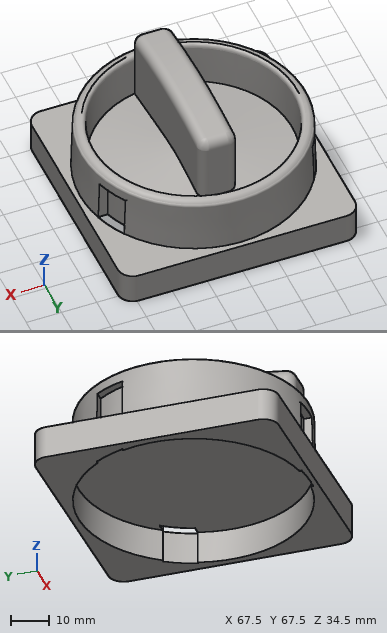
import cadquery as cq

plate_side = 67.5
plate_height = 9.2
plate_corner_radius = 4.25
bore_radius = 31.7

collar_base_radius = 32.25
band_radius = 31.85
band_bottom_z = 23.35
band_top_z = 23.7
dome_edge_radius = 31.45
dome_edge_z = 24.4
rim_top_radius = 29.5
rim_top_z = 25.25

mouth_round = 1.15
mouth_radius = rim_top_radius - mouth_round
floor_radius = 28.0
floor_edge_z = 12.3
floor_center_z = 16.35

slot_floor_radius = 29.7
slot_width = 8.4
slot_top_z = 21.05
front_slot_center_x = -0.95
side_slot_center_y = 13.4

handle_width = 10.8
handle_back_y = 17.7
handle_front_y = -29.55
handle_crown_y = -3.4
handle_crown_z = 34.5
handle_crown_radius = 144.45
handle_round = 2.7


def make_plate():
    plate = cq.Workplane("XY").rect(plate_side, plate_side).extrude(plate_height)
    return plate.edges("|Z").fillet(plate_corner_radius)


def make_collar():
    """Collar with its conical floor, revolved about Z."""
    rim_profile = (
        cq.Workplane("XZ")
        .moveTo(0, plate_height)
        .lineTo(collar_base_radius, plate_height)
        .lineTo(band_radius, band_bottom_z)
        .lineTo(band_radius, band_top_z)
        .tangentArcPoint((dome_edge_radius, dome_edge_z), relative=False)
    )
    dome_rise = rim_top_z - dome_edge_z
    dome_width = dome_edge_radius - rim_top_radius
    dome_radius = (dome_rise ** 2 + dome_width ** 2) / (2 * dome_rise)
    return (
        rim_profile.radiusArc((rim_top_radius, rim_top_z), -dome_radius)
        .radiusArc((mouth_radius, rim_top_z - mouth_round), -mouth_round)
        .lineTo(floor_radius, floor_edge_z)
        .lineTo(0, floor_center_z)
        .close()
        .revolve(360, (0, 0, 0), (0, 1, 0))
    )


def make_slots():
    """Front slot and a pair of side slots, open from the slot floor out to the collar base radius."""
    wall = (
        cq.Workplane("XY")
        .circle(collar_base_radius)
        .circle(slot_floor_radius)
        .extrude(slot_top_z)
    )
    front = (
        cq.Workplane("XY")
        .center(front_slot_center_x, -plate_side / 4)
        .rect(slot_width, plate_side / 2)
        .extrude(slot_top_z)
    )
    sides = (
        cq.Workplane("XY")
        .center(0, side_slot_center_y)
        .rect(plate_side, slot_width)
        .extrude(slot_top_z)
    )
    return wall.intersect(front.union(sides))


def make_handle():
    """Upright bar with an arched, fully rounded top, standing on the recess floor."""

    def crown_z(y):
        drop = handle_crown_radius - (handle_crown_radius ** 2 - (y - handle_crown_y) ** 2) ** 0.5
        return handle_crown_z - drop

    bar = (
        cq.Workplane("YZ")
        .moveTo(handle_front_y, plate_height)
        .lineTo(handle_back_y, plate_height)
        .lineTo(handle_back_y, crown_z(handle_back_y))
        .threePointArc((handle_crown_y, handle_crown_z), (handle_front_y, crown_z(handle_front_y)))
        .close()
        .extrude(handle_width / 2, both=True)
    )
    return bar.edges("|Z").fillet(handle_round).faces(">Z").edges().fillet(handle_round)


def make_bore():
    """Opening under the collar; the collar rests on the plate's remaining edge."""
    return cq.Workplane("XY").circle(bore_radius).extrude(plate_height)


result = make_plate().cut(make_bore()).union(make_collar()).union(make_handle()).cut(make_slots())